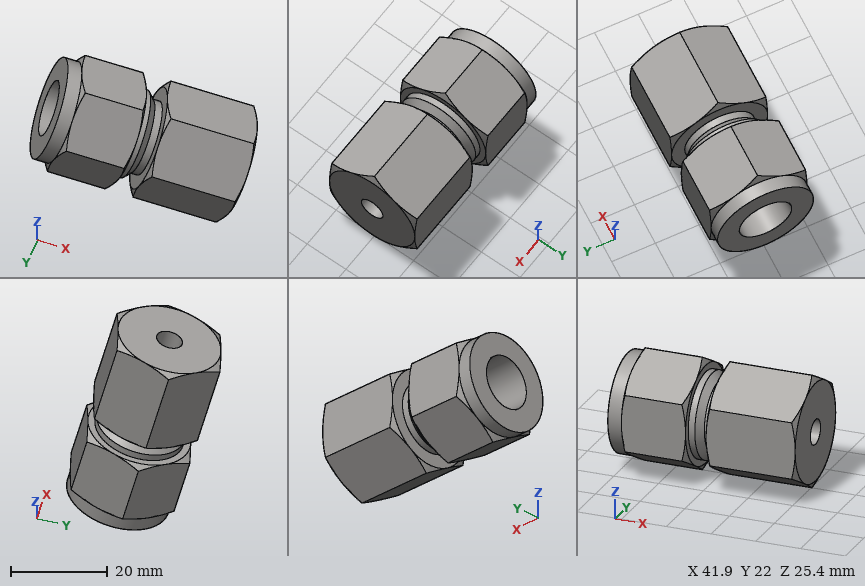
import cadquery as cq
import math

total_length = 41.9
across_flats = 22.0
across_corners = across_flats / math.cos(math.pi / 6)

nut_start = 3.05
nut_end = 17.4
shoulder_end = 18.85
taper_end = 20.35
body_hex_start = 22.0

collar_diameter = across_flats
shoulder_diameter = 19.02
neck_diameter = 16.0
tube_bore_diameter = 12.0
through_bore_diameter = 5.55

tube_bore_depth = total_length / 2
hex_chamfer_angle = 25.0


def cylinder(diameter, start, end):
    """Solid cylinder along X between two stations."""
    return cq.Workplane("YZ", origin=(start, 0, 0)).circle(diameter / 2).extrude(end - start)


def chamfered_hex(start, end):
    """Hexagonal prism along X, corners up and down, with conically turned corners at both ends."""
    prism = (
        cq.Workplane("YZ", origin=(start, 0, 0))
        .polygon(6, across_corners)
        .extrude(end - start)
        .rotate((0, 0, 0), (1, 0, 0), 90)
    )
    flat_radius = across_flats / 2
    corner_radius = across_corners / 2
    chamfer_length = (corner_radius - flat_radius) * math.tan(math.radians(hex_chamfer_angle))
    turned_envelope = (
        cq.Workplane("XY")
        .moveTo(start, 0)
        .lineTo(start, flat_radius)
        .lineTo(start + chamfer_length, corner_radius)
        .lineTo(end - chamfer_length, corner_radius)
        .lineTo(end, flat_radius)
        .lineTo(end, 0)
        .close()
        .revolve(360, (0, 0, 0), (1, 0, 0))
    )
    return prism.intersect(turned_envelope)


def tapered_neck():
    """Round shoulder narrowing through a cone to the neck that joins the two hexes."""
    return (
        cq.Workplane("XY")
        .moveTo(nut_end, 0)
        .lineTo(nut_end, shoulder_diameter / 2)
        .lineTo(shoulder_end, shoulder_diameter / 2)
        .lineTo(taper_end, neck_diameter / 2)
        .lineTo(body_hex_start, neck_diameter / 2)
        .lineTo(body_hex_start, 0)
        .close()
        .revolve(360, (0, 0, 0), (1, 0, 0))
    )


collar = cylinder(collar_diameter, 0, nut_start)
nut = chamfered_hex(nut_start, nut_end)
body_hex = chamfered_hex(body_hex_start, total_length)
tube_bore = cylinder(tube_bore_diameter, 0, tube_bore_depth)
through_bore = cylinder(through_bore_diameter, 0, total_length)

result = (
    collar.union(nut)
    .union(tapered_neck())
    .union(body_hex)
    .cut(tube_bore)
    .cut(through_bore)
)